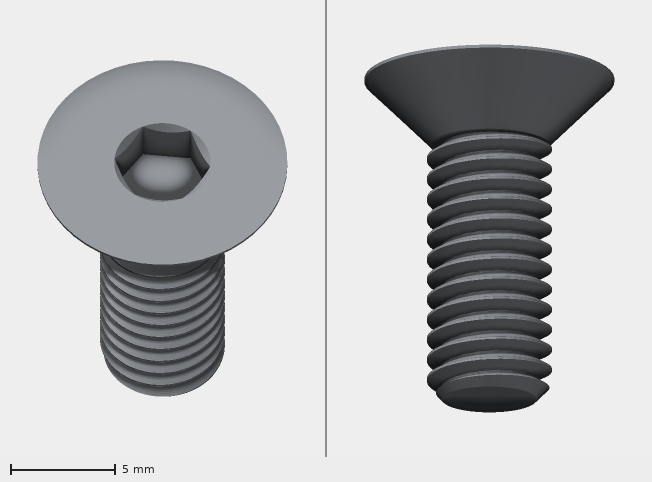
import cadquery as cq
import math

overall_length = 16.0
head_diameter = 12.0
head_rim_height = 0.15
head_height = 3.3
head_cone_angle = 90.0

thread_diameter = 6.0
thread_pitch = 1.0
thread_angle = 60.0
crest_width = thread_pitch / 8
root_width = thread_pitch / 8
crest_height_at_x = 0.81
flank_points = 12
tip_diameter = 4.54
tip_cutter_margin = 1.0

socket_width = 4.0
socket_depth = 2.3
socket_lead_in_angle = 45.0
socket_turn = 30.0

head_radius = head_diameter / 2
head_base_z = overall_length - head_height
thread_radius = thread_diameter / 2
flank_slope = math.tan(math.radians(thread_angle / 2))
flank_width = (thread_pitch - crest_width - root_width) / 2
root_radius = thread_radius - flank_width / flank_slope
socket_radius = socket_width / math.sqrt(3)


def make_head():
    """Conical head with a thin cylindrical rim."""
    cone_height = head_height - head_rim_height
    base_radius = head_radius - cone_height * math.tan(math.radians(head_cone_angle / 2))
    rim_z = overall_length - head_rim_height
    return (
        cq.Workplane("XZ")
        .moveTo(0, head_base_z)
        .lineTo(base_radius, head_base_z)
        .lineTo(head_radius, rim_z)
        .lineTo(head_radius, overall_length)
        .lineTo(0, overall_length)
        .close()
        .revolve(360, (0, 0, 0), (0, 1, 0))
    )


def make_thread_section():
    """Cross-section of the thread at Z = 0: crest arc, root arc and two spirals along the flanks."""
    half_crest = math.pi * crest_width / thread_pitch
    flank_sweep = 2 * math.pi * flank_width / thread_pitch
    crest_angle = -2 * math.pi * crest_height_at_x / thread_pitch
    flank_start = crest_angle + half_crest
    next_crest_start = crest_angle - half_crest + 2 * math.pi
    root_angle = crest_angle + math.pi

    def polar(radius, angle):
        return (radius * math.cos(angle), radius * math.sin(angle))

    def flank_radius(t):
        return thread_radius + t * (root_radius - thread_radius)

    def falling_flank(t):
        return polar(flank_radius(t), flank_start + t * flank_sweep)

    def rising_flank(t):
        return polar(flank_radius(1 - t), next_crest_start - (1 - t) * flank_sweep)

    section = cq.Workplane("XY").moveTo(*polar(thread_radius, crest_angle - half_crest))
    section = section.threePointArc(polar(thread_radius, crest_angle), falling_flank(0))
    section = section.parametricCurve(falling_flank, N=flank_points, makeWire=False)
    section = section.threePointArc(polar(root_radius, root_angle), rising_flank(0))
    section = section.parametricCurve(rising_flank, N=flank_points, makeWire=False)
    return section.wire()


def make_tip_cutter():
    """Ring with a 45 degree conical bore that bevels the thread end."""
    tip_radius = tip_diameter / 2
    ring_radius = thread_radius + tip_cutter_margin
    return (
        cq.Workplane("XZ")
        .moveTo(tip_radius, 0)
        .lineTo(ring_radius, ring_radius - tip_radius)
        .lineTo(ring_radius, 0)
        .close()
        .revolve(360, (0, 0, 0), (0, 1, 0))
    )


def make_shank():
    """Right-hand threaded shank up to the underside of the head, bevelled at the tip."""
    twist = 360 * head_base_z / thread_pitch
    thread = make_thread_section().twistExtrude(head_base_z, twist)
    return thread.cut(make_tip_cutter())


def make_socket():
    """Hexagonal socket with corners on +Y and -Y and a conical lead-in."""
    hexagon = (
        cq.Workplane("XY", origin=(0, 0, overall_length))
        .polygon(6, 2 * socket_radius)
        .extrude(-socket_depth)
        .rotate((0, 0, 0), (0, 0, 1), socket_turn)
    )
    lead_in_depth = socket_radius / 2
    lead_in = cq.Workplane("XY", origin=(0, 0, overall_length))
    lead_in = lead_in.circle(socket_radius).extrude(-lead_in_depth, taper=socket_lead_in_angle)
    return hexagon.union(lead_in)


screw = make_head().union(make_shank()).cut(make_socket())
result = screw.solids()